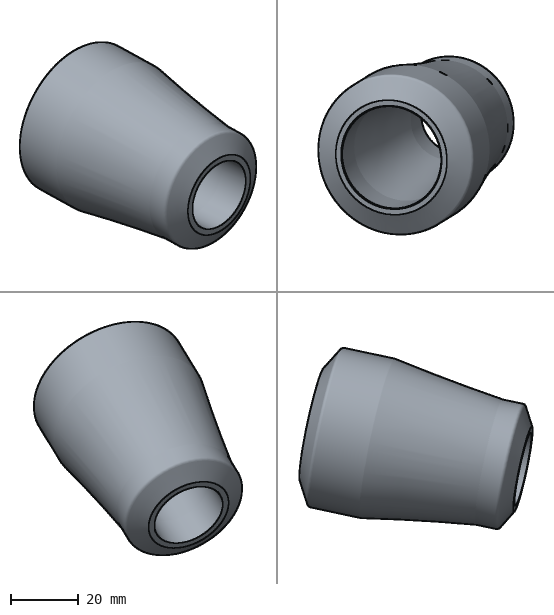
import cadquery as cq

length = 64.0
large_radius = 48.3 / 2
small_radius = 38.0 / 2
large_face_radius = 17.3
small_face_radius = 12.9
large_bevel_depth = 4.0
small_bevel_depth = 3.5
edge_fillet = 1.15

taper_start = 20.0
taper_end = 53.9
taper_middle_x = 36.5
taper_middle_radius = 21.4

large_bore_radius = 30.7 / 2
mouth_chamfer = 0.25
small_bore_radius = 22.0 / 2
bore_taper_start = 12.0
bore_taper_end = taper_end

section = (
    cq.Workplane("XY")
    .moveTo(mouth_chamfer, large_bore_radius)
    .lineTo(0, large_bore_radius + mouth_chamfer)
    .lineTo(0, large_face_radius)
    .lineTo(large_bevel_depth, large_radius)
    .lineTo(taper_start, large_radius)
    .threePointArc((taper_middle_x, taper_middle_radius), (taper_end, small_radius))
    .lineTo(length - small_bevel_depth, small_radius)
    .lineTo(length, small_face_radius)
    .lineTo(length, small_bore_radius)
    .lineTo(bore_taper_end, small_bore_radius)
    .lineTo(bore_taper_start, large_bore_radius)
    .close()
)
sleeve = section.revolve(360, (0, 0, 0), (1, 0, 0))


def edge_at(x):
    """Selector for the circular edges lying in the plane at x."""
    margin = 0.05
    reach = length
    return cq.selectors.BoxSelector((x - margin, -reach, -reach), (x + margin, reach, reach), boundingbox=True)


for edge_x in (large_bevel_depth, taper_start, taper_end, length - small_bevel_depth):
    sleeve = sleeve.edges(edge_at(edge_x)).edges(cq.selectors.RadiusNthSelector(-1)).fillet(edge_fillet)

result = sleeve